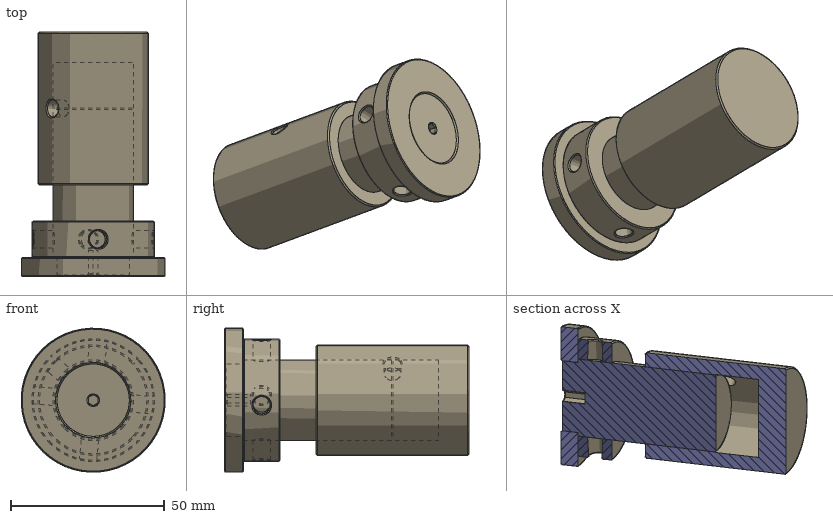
import cadquery as cq
import math

TOTAL_LENGTH = 79.8

FLANGE_DIAMETER = 47.0
FLANGE_THICKNESS = 6.15
FLANGE_CHAMFER = 0.3

SPINDLE_DIAMETER = 26.35
NOSE_DIAMETER = 23.6
NOSE_RECESS = 0.5
SPINDLE_END = 55.0
SPINDLE_CHAMFER = 0.5
HEXAGON_SIDES = 6
SOCKET_WIDTH = 3.2
SOCKET_DEPTH = 8.0
SOCKET_MOUTH_DIAMETER = 4.1

COLLAR_DIAMETER = 40.0
COLLAR_WIDTH = 12.0
COLLAR_CHAMFER = 0.4
COLLAR_HOLE_DIAMETER = 5.7
COLLAR_HOLE_CHAMFER = 0.4
COLLAR_HOLE_COUNT = 4
COLLAR_HOLE_START_ANGLE = 85.2

SLEEVE_DIAMETER = 36.0
SLEEVE_LENGTH = 50.0
SLEEVE_CHAMFER = 0.5
SLEEVE_BORE_END = 69.85
SLEEVE_HOLE_DIAMETER = 5.5
SLEEVE_HOLE_CHAMFER = 0.4
SLEEVE_HOLE_ANGLE = 138.7

DRILL_START_RADIUS = 8.0
DRILL_LENGTH = 16.0

bore_chamfer = NOSE_RECESS
sleeve_start = TOTAL_LENGTH - SLEEVE_LENGTH
sleeve_mid = sleeve_start + SLEEVE_LENGTH / 2
collar_end = FLANGE_THICKNESS + COLLAR_WIDTH
collar_mid = FLANGE_THICKNESS + COLLAR_WIDTH / 2


def cylinder(diameter, start, end):
    """Cylinder on the Y axis between two Y positions."""
    return cq.Workplane("XZ", origin=(0, start, 0)).circle(diameter / 2).extrude(start - end)


def drill_radially(body, diameter, y, angle):
    """Drill a solid round body from inside its future bore outwards, at an angle from +X towards +Z."""
    outward = cq.Vector(math.cos(math.radians(angle)), 0, math.sin(math.radians(angle)))
    start = cq.Vector(0, y, 0) + outward * DRILL_START_RADIUS
    return body.cut(cq.Workplane(cq.Solid.makeCylinder(diameter / 2, DRILL_LENGTH, start, outward)))


def chamfer_mouths(body, size):
    """Chamfer the saddle-shaped mouths of radial holes, the only edges that are neither circles nor lines."""
    return body.edges("not (%CIRCLE or %LINE)").chamfer(size)


def make_flange():
    disc = cylinder(FLANGE_DIAMETER, 0, FLANGE_THICKNESS).faces("<Y or >Y").chamfer(FLANGE_CHAMFER)
    bored = disc.cut(cylinder(NOSE_DIAMETER, 0, FLANGE_THICKNESS))
    return bored.faces("<Y").edges(cq.selectors.RadiusNthSelector(0)).chamfer(bore_chamfer)


def make_socket():
    """Hexagon cutter with two flats square to X and a 45 degree conical mouth."""
    half_corner_angle = 180 / HEXAGON_SIDES
    corner_diameter = SOCKET_WIDTH / math.cos(math.radians(half_corner_angle))
    hexagon = cq.Workplane("XZ", origin=(0, NOSE_RECESS, 0)).transformed(rotate=(0, 0, half_corner_angle))
    hexagon = hexagon.polygon(HEXAGON_SIDES, corner_diameter).extrude(-SOCKET_DEPTH)
    mouth_radius = SOCKET_MOUTH_DIAMETER / 2
    mouth = cq.Solid.makeCone(mouth_radius, 0, mouth_radius, cq.Vector(0, NOSE_RECESS, 0), cq.Vector(0, 1, 0))
    return hexagon.union(cq.Workplane(mouth))


def make_spindle():
    shaft = cylinder(SPINDLE_DIAMETER, FLANGE_THICKNESS, SPINDLE_END)
    shaft = shaft.faces(">Y").chamfer(SPINDLE_CHAMFER)
    shaft = shaft.union(cylinder(NOSE_DIAMETER, NOSE_RECESS, FLANGE_THICKNESS))
    return shaft.cut(make_socket())


def make_collar():
    ring = cylinder(COLLAR_DIAMETER, FLANGE_THICKNESS, collar_end).faces("<Y or >Y").chamfer(COLLAR_CHAMFER)
    for i in range(COLLAR_HOLE_COUNT):
        angle = COLLAR_HOLE_START_ANGLE + i * 360 / COLLAR_HOLE_COUNT
        ring = drill_radially(ring, COLLAR_HOLE_DIAMETER, collar_mid, angle)
    ring = chamfer_mouths(ring, COLLAR_HOLE_CHAMFER)
    return ring.cut(cylinder(SPINDLE_DIAMETER, FLANGE_THICKNESS, collar_end))


def make_sleeve():
    body = cylinder(SLEEVE_DIAMETER, sleeve_start, TOTAL_LENGTH).faces("<Y or >Y").chamfer(SLEEVE_CHAMFER)
    body = drill_radially(body, SLEEVE_HOLE_DIAMETER, sleeve_mid, SLEEVE_HOLE_ANGLE)
    body = chamfer_mouths(body, SLEEVE_HOLE_CHAMFER)
    return body.cut(cylinder(SPINDLE_DIAMETER, sleeve_start, SLEEVE_BORE_END))


flange = make_flange()
spindle = make_spindle()
collar = make_collar()
sleeve = make_sleeve()

result = cq.Compound.makeCompound([flange.val(), spindle.val(), collar.val(), sleeve.val()])